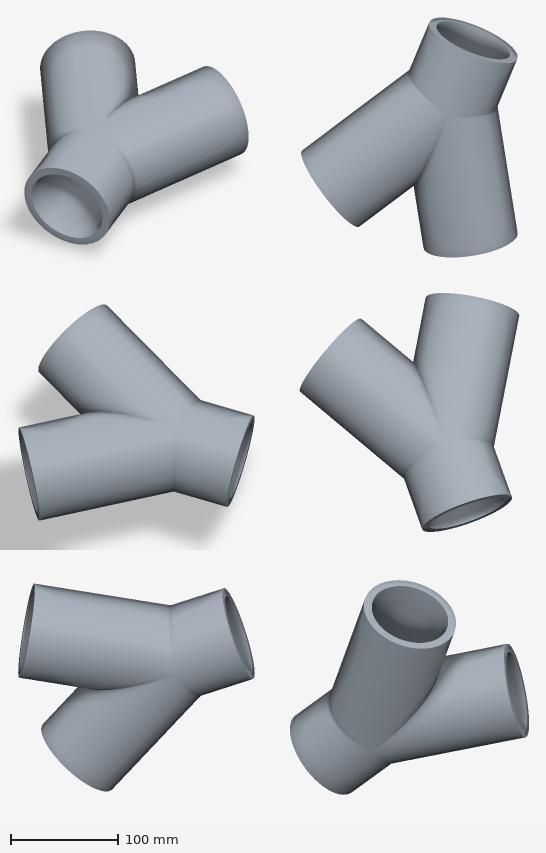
import cadquery as cq
import math

outer_diameter = 88.8
bore_diameter = 73.7

inlet_length = 63.5
branch_length = 139.8
branch_angle = math.radians(30)


def cylinder(diameter, length, direction):
    """Round bar from the junction along a direction."""
    return cq.Workplane(
        cq.Solid.makeCylinder(diameter / 2, length, cq.Vector(0, 0, 0), direction)
    )


def wye(diameter):
    """Inlet along -Y joined to two branches that spread toward +Y."""
    body = cylinder(diameter, inlet_length, cq.Vector(0, -1, 0))
    for side in (-1, 1):
        direction = cq.Vector(side * math.sin(branch_angle), math.cos(branch_angle), 0)
        body = body.union(cylinder(diameter, branch_length, direction))
    return body


result = wye(outer_diameter).cut(wye(bore_diameter))